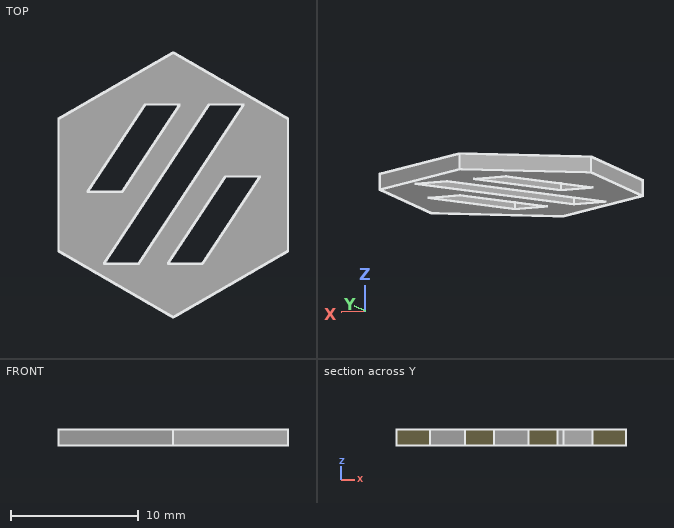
import cadquery as cq
import math

corner_diameter = 20.75
thickness = 1.27

slot_width = 2.7
slot_pitch = 5.0
long_height = 12.45
short_height = 6.8
long_lean = 8.22
pattern_x = 0.05
pattern_y = 0.06

slope = long_lean / long_height
short_offset_y = (long_height - short_height) / 2


def slanted_slot(line_x, offset_y, height):
    """Through-cutter whose slanted line crosses the pattern's centre height at line_x."""
    center_x = pattern_x + line_x + slope * offset_y
    center_y = pattern_y + offset_y
    half_height = height / 2
    half_width = slot_width / 2
    half_lean = slope * half_height
    corners = [
        (center_x - half_lean - half_width, center_y - half_height),
        (center_x - half_lean + half_width, center_y - half_height),
        (center_x + half_lean + half_width, center_y + half_height),
        (center_x + half_lean - half_width, center_y + half_height),
    ]
    return cq.Workplane("XY").polyline(corners).close().extrude(thickness)


corner_radius = corner_diameter / 2
hexagon = [
    (corner_radius * math.sin(math.radians(angle)), corner_radius * math.cos(math.radians(angle)))
    for angle in range(0, 360, 60)
]
plate = cq.Workplane("XY").polyline(hexagon).close().extrude(thickness)

slots = [
    (-slot_pitch, short_offset_y, short_height),
    (0, 0, long_height),
    (slot_pitch, -short_offset_y, short_height),
]
for line_x, offset_y, height in slots:
    plate = plate.cut(slanted_slot(line_x, offset_y, height))

result = plate